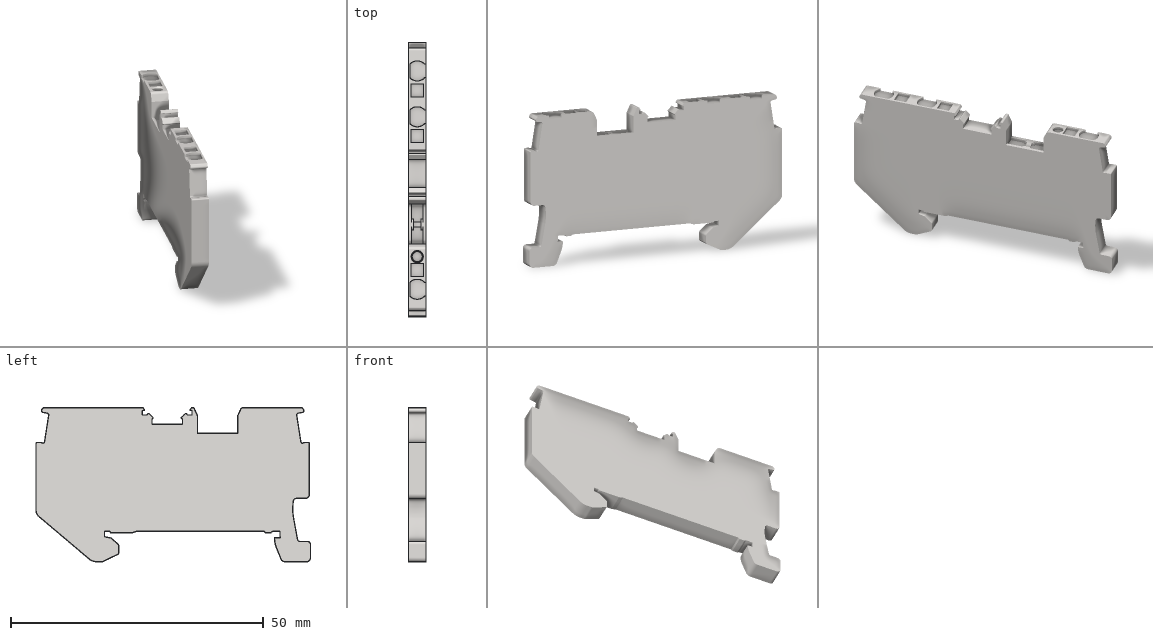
import cadquery as cq
import math

length = 54.3
height = 30.5
width = 3.5
half_width = width / 2

front_wall_y = 0.2
rear_wall_y = length
shoulder_z = 23.6
waist_top_z = 29.3
lug_tip_z = 29.85

marker_center_y = 28.35
marker_floor_z = 27.25
latch_seat_z = 29.05
latch_lip_z = 29.9

bay_front_y = 14.45
bay_rear_y = 22.3
bay_floor_z = 25.45
bay_slope_z = 28.85
bay_slope_width = 0.75

rail_seat_z = 6.05
rail_pad_z = 5.75
rear_jaw_y = 40.7
rear_hook_tip_y = 37.9
front_jaw_y = 6.1
front_hook_z = 4.8
foot_top_z = 4.05
front_wall_bottom_z = 12.55

recess_depth = 0.6
wire_funnel_ys = (5.5, 39.6, 48.65)
wire_funnel_diameter = 3.95
wire_funnel_half_width = 1.4
wire_funnel_mouth = 2.65
tool_opening_ys = (9.3, 35.8, 44.8)
tool_opening_side = 2.55
test_hole_y = 11.95
test_hole_diameter = 2.0
test_hole_rim_diameter = 2.4
test_hole_depth = 0.8

bridge_slot_width = 2.3
bridge_wall_y = 18.3
bridge_wall_thickness = 1.0
bridge_groove_width = 1.6
bridge_groove_depth = 0.45


def end_corners(wall_y, inward):
    """Corners of one end from its lug down to its shoulder, as (y, z, corner radius)."""
    offsets = (
        (1.45, height, 0.4),
        (1.0, lug_tip_z, 0.3),
        (1.3, 29.55, 0.15),
        (2.55, waist_top_z, 0.3),
        (1.65, 23.4, 0.25),
        (1.0, shoulder_z, 0.15),
        (0, shoulder_z, 0.2),
    )
    return [(wall_y + inward * inset, z, radius) for inset, z, radius in offsets]


def latch_corners(side):
    """Corners of one marker latch from its lip to the groove floor, as (y, z, corner radius)."""
    offsets = (
        (4.4, latch_lip_z, 0.1),
        (4.9, latch_lip_z, 0),
        (4.9, latch_seat_z, 0),
        (4.0, latch_seat_z, 0),
        (3.7, 29.45, 0.1),
        (2.7, 28.45, 0.1),
        (3.0, 28.25, 0),
        (3.0, marker_floor_z, 0),
    )
    return [(marker_center_y + side * offset, z, radius) for offset, z, radius in offsets]


def rounded_outline(corners):
    """Closed outline through the corners in the YZ plane, each rounded by its own radius."""
    outline = None
    for index, (y, z, radius) in enumerate(corners):
        corner = cq.Vector(y, z)
        before = cq.Vector(*corners[index - 1][:2])
        after = cq.Vector(*corners[(index + 1) % len(corners)][:2])
        to_before = (before - corner).normalized()
        to_after = (after - corner).normalized()
        half_angle = to_before.getAngle(to_after) / 2
        setback = radius / math.tan(half_angle)
        start = corner + to_before * setback
        if outline is None:
            outline = cq.Workplane("YZ").moveTo(start.x, start.y)
        else:
            outline = outline.lineTo(start.x, start.y)
        if radius > 0:
            bisector = (to_before + to_after).normalized()
            middle = corner + bisector * (radius / math.sin(half_angle) - radius)
            end = corner + to_after * setback
            outline = outline.threePointArc((middle.x, middle.y), (end.x, end.y))
    return outline.close()


def housing():
    """Constant-width body; its outline runs along the top to the rear and back along the underside."""
    front_top = end_corners(front_wall_y, 1)[::-1]
    bay = [
        (bay_front_y - bay_slope_width, height, 0.65),
        (bay_front_y, bay_slope_z, 0),
        (bay_front_y, bay_floor_z, 0),
        (bay_rear_y, bay_floor_z, 0),
        (bay_rear_y, bay_slope_z, 0),
        (bay_rear_y + bay_slope_width, height, 0.2),
        (23.5, height, 0.2),
    ]
    front_latch = latch_corners(-1)
    rear_latch = latch_corners(1)[::-1]
    rear_latch_top = [(33.1, height, 0.1)]
    rear_top = end_corners(rear_wall_y, -1)
    rear_foot = [
        (length, 9.45, 1.65),
        (43.1, 0, 2.45),
        (41.15, 0, 0.8),
        (rear_hook_tip_y, 1.6, 0.45),
        (rear_hook_tip_y, 3.35, 0.5),
        (39.4, 4.7, 0.15),
        (rear_jaw_y, 5.0, 0),
        (rear_jaw_y, rail_seat_z, 0),
    ]
    rail_pads = [
        (39.75, rail_seat_z, 0),
        (39.55, rail_pad_z, 0),
        (35.25, rail_pad_z, 0),
        (34.35, rail_seat_z, 0),
        (9.25, rail_seat_z, 0),
        (8.9, rail_pad_z, 0),
        (7.9, rail_pad_z, 0),
        (7.5, rail_seat_z, 0),
    ]
    front_foot = [
        (front_jaw_y, rail_seat_z, 0),
        (front_jaw_y, 5.0, 0),
        (5.9, front_hook_z, 0),
        (7.15, front_hook_z, 0),
        (7.05, 3.55, 4.35),
        (5.65, 0, 1.0),
        (0, 0, 0.8),
        (0, foot_top_z, 0.65),
        (2.5, foot_top_z, 0.4),
        (3.65, 10.3, 9.8),
        (3.3, front_wall_bottom_z, 0.65),
        (front_wall_y, front_wall_bottom_z, 0.8),
    ]
    corners = (
        front_top + bay + front_latch + rear_latch + rear_latch_top
        + rear_top + rear_foot + rail_pads + front_foot
    )
    return rounded_outline(corners).extrude(half_width, both=True)


def cuboid(x_range, y_range, z_range):
    sizes = [high - low for low, high in (x_range, y_range, z_range)]
    return cq.Workplane("XY").box(*sizes, centered=False).translate((x_range[0], y_range[0], z_range[0]))


def wire_funnel(y):
    """Round recess flattened on both sides, with a straight mouth out through the +X side."""
    floor_z = height - recess_depth
    reach = wire_funnel_diameter / 2
    half_mouth = wire_funnel_mouth / 2
    disc = cq.Workplane("XY", origin=(0, y, floor_z)).circle(reach).extrude(recess_depth)
    flats = cuboid(
        (-wire_funnel_half_width, wire_funnel_half_width), (y - reach, y + reach), (floor_z, height)
    )
    mouth = cuboid((0, half_width), (y - half_mouth, y + half_mouth), (floor_z, height))
    return disc.intersect(flats).union(mouth)


def tool_opening(y):
    top = cq.Workplane("XY", origin=(0, y, height))
    return top.rect(tool_opening_side, tool_opening_side).extrude(-recess_depth)


def test_hole():
    """Blind round hole with a 45 degree chamfered rim."""
    rim_depth = (test_hole_rim_diameter - test_hole_diameter) / 2
    top = cq.Workplane("XY", origin=(0, test_hole_y, height))
    hole = top.circle(test_hole_diameter / 2).extrude(-test_hole_depth)
    rim = (
        top.circle(test_hole_rim_diameter / 2)
        .workplane(offset=-rim_depth)
        .circle(test_hole_diameter / 2)
        .loft()
    )
    return hole.union(rim)


def bridge_slot():
    """Slot along the bay floor, less a cross wall with rounded flanks and a concave groove."""
    floor_z = bay_floor_z - recess_depth
    half_slot = bridge_slot_width / 2
    half_wall = bridge_wall_thickness / 2
    half_groove = bridge_groove_width / 2
    half_base = half_wall + recess_depth
    slot = cuboid((-half_slot, half_slot), (bay_front_y, bay_rear_y), (floor_z, bay_floor_z))
    flank_offset = recess_depth * math.sqrt(0.5)
    wall = (
        cq.Workplane("YZ", origin=(0, bridge_wall_y, floor_z))
        .moveTo(-half_base, 0)
        .threePointArc((-half_wall - flank_offset, flank_offset), (-half_wall, recess_depth))
        .lineTo(half_wall, recess_depth)
        .threePointArc((half_wall + flank_offset, flank_offset), (half_base, 0))
        .close()
        .extrude(half_slot, both=True)
    )
    for y_range in (
        (bridge_wall_y - half_base, bridge_wall_y - half_wall),
        (bridge_wall_y + half_wall, bridge_wall_y + half_base),
    ):
        wall = wall.cut(cuboid((-half_groove, half_groove), y_range, (floor_z, bay_floor_z)))
    groove = (
        cq.Workplane("XZ", origin=(0, bridge_wall_y, bay_floor_z))
        .moveTo(-half_groove, 0)
        .threePointArc((0, -bridge_groove_depth), (half_groove, 0))
        .close()
        .extrude(half_wall, both=True)
    )
    return slot.cut(wall.cut(groove))


result = housing()
for funnel_y in wire_funnel_ys:
    result = result.cut(wire_funnel(funnel_y))
for opening_y in tool_opening_ys:
    result = result.cut(tool_opening(opening_y))
result = result.cut(test_hole()).cut(bridge_slot())